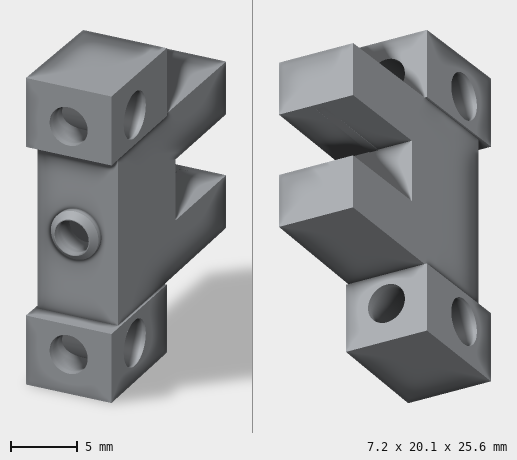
import cadquery as cq
import math


draft_angle = 0.5
overall_height = 25.6
overall_depth = 20.1
ear_width = 7.2
ear_depth = 9.5
ear_overhang = 1.5
ear_face_y = -ear_overhang
ear_end_y = ear_face_y + ear_depth
body_width = 6.75
body_height = 14.08
body_depth = overall_depth - ear_overhang
fork_gap = 5.1
fork_gap_depth = 8.7
fork_floor_y = body_depth - fork_gap_depth

hole_pitch = 19.05
face_hole_diameter = 3.2
side_hole_diameter = 3.8
side_hole_setback = 4.0
side_hole_y = ear_face_y + side_hole_setback

wall = 0.6
cover_width = body_width - 2 * wall
cover_thickness = 1.5
collar_diameter = 4.0
collar_height = 1.0
collar_chamfer = collar_height / 2
cable_hole_diameter = 2.87

core_width = 1.75
slit_width = 0.75
rib_rise = 0.05
core_tip_y = body_depth - wall
core_height = body_height - 2 * wall
core_gap = fork_gap + 2 * wall
core_floor_y = fork_floor_y - wall
rib_gap = fork_gap - 2 * rib_rise


def block(width, height, y_start, y_end, taper=0):
    """Block centred on the Y axis that narrows toward +Y by the taper angle."""
    plane = cq.Plane(origin=(0, y_start, 0), xDir=(1, 0, 0), normal=(0, 1, 0))
    return cq.Workplane(plane).rect(width, height).extrude(y_end - y_start, taper=taper)


def y_cylinder(diameter, y_start, y_end, z=0):
    """Cylinder along Y between two Y positions."""
    plane = cq.Plane(origin=(0, y_start, z), xDir=(1, 0, 0), normal=(0, 1, 0))
    return cq.Workplane(plane).circle(diameter / 2).extrude(y_end - y_start)


def make_ears():
    """Upper and lower mounting ears, each with a hole along Y and a hole along X."""
    ears = block(ear_width, overall_height, ear_face_y, ear_end_y, draft_angle)
    ears = ears.cut(block(ear_width, body_height, ear_face_y, ear_end_y))
    for z in (-hole_pitch / 2, hole_pitch / 2):
        ears = ears.cut(y_cylinder(face_hole_diameter, ear_face_y, ear_end_y, z))
        side_hole = (
            cq.Workplane("YZ")
            .center(side_hole_y, z)
            .circle(side_hole_diameter / 2)
            .extrude(ear_width, both=True)
        )
        ears = ears.cut(side_hole)
    return ears


def make_core():
    """U-shaped core with a narrow rib along the inner face of each arm."""
    core = block(core_width, core_height, cover_thickness, core_tip_y)
    core = core.cut(block(core_width, core_gap, core_floor_y, core_tip_y))
    ribs = block(slit_width, core_gap, fork_floor_y, core_tip_y)
    ribs = ribs.cut(block(slit_width, rib_gap, fork_floor_y, core_tip_y, -draft_angle))
    return core.union(ribs)


def make_body():
    """U-shaped fork; its height is constant between the ears and drafted beyond them."""
    half_height = body_height / 2
    tip_half_height = half_height - (body_depth - ear_end_y) * math.tan(math.radians(draft_angle))
    side_outline = (
        cq.Workplane("YZ")
        .moveTo(0, -half_height)
        .lineTo(ear_end_y, -half_height)
        .lineTo(body_depth, -tip_half_height)
        .lineTo(body_depth, tip_half_height)
        .lineTo(ear_end_y, half_height)
        .lineTo(0, half_height)
        .close()
        .extrude(body_width / 2, both=True)
    )
    tip_half_width = body_width / 2 - body_depth * math.tan(math.radians(draft_angle))
    plan_outline = (
        cq.Workplane("XY")
        .moveTo(-body_width / 2, 0)
        .lineTo(body_width / 2, 0)
        .lineTo(tip_half_width, body_depth)
        .lineTo(-tip_half_width, body_depth)
        .close()
        .extrude(half_height, both=True)
    )
    fork_opening = block(body_width, fork_gap, fork_floor_y, body_depth)
    return side_outline.intersect(plan_outline).cut(fork_opening)


def make_cover():
    """Plate closing the back of the housing, with a chamfered collar and a hole for the cable."""
    plate = block(cover_width, body_height, 0, cover_thickness, draft_angle)
    collar = y_cylinder(collar_diameter, -collar_height, 0).faces("<Y").chamfer(collar_chamfer)
    cable_hole = y_cylinder(cable_hole_diameter, -collar_height, cover_thickness)
    return plate.union(collar).cut(cable_hole)


def make_housing():
    """Forked housing with ears, a pocket for the cover, a cavity for the core and a slit in each arm."""
    housing = make_body().union(make_ears())
    housing = housing.cut(block(cover_width, body_height, 0, cover_thickness, draft_angle))
    slits = block(slit_width, core_gap, fork_floor_y, core_tip_y)
    return housing.cut(make_core()).cut(slits)


housing = make_housing()
cover = make_cover()
core = make_core()

result = cq.Compound.makeCompound([housing.val(), cover.val(), core.val()])